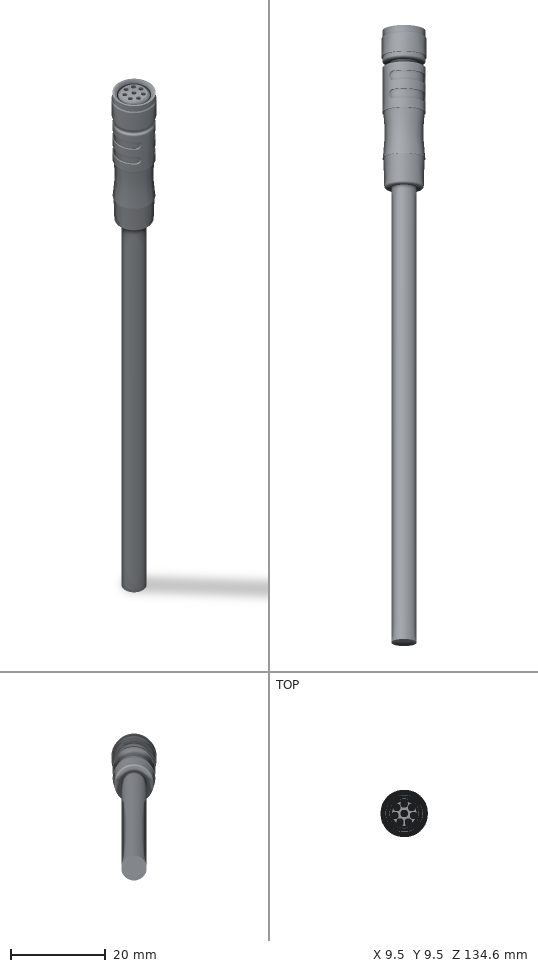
import cadquery as cq
import math

total_length = 134.6
cable_radius = 5.4 / 2

rim_radius = 9.2 / 2
nut_radius = 9.5 / 2
neck_radius = 5.9 / 2
rim_bottom = 133.1
nut_top = 132.9
nut_bottom = 128.8
nut_base = 127.6
nut_base_fillet = 0.4

grip_top = 126.7
grip_fillet = 0.4
grip_radius = 9.2 / 2
grip_bottom = 116.5
waist_end_radius = 8.7 / 2
waist_radius = 8.2 / 2
waist_bottom = 107.8
collar_radius = 9.0 / 2
collar_bottom = 106.5
tail_top_radius = 8.7 / 2
tail_bottom_radius = 8.3 / 2
tail_bottom = 100.0
tail_fillet = 0.4

slot_width = 2.0
slot_depth = 0.3
slot_end_y = 1.7
slot_centres_z = (123.7, 119.7)

bore_radius = 7.3 / 2
bore_chamfer = 0.5
bore_depth = 2.7
insert_radius = 6.7 / 2
insert_chamfer = 0.5
insert_recess = 0.1
contact_hole_radius = 0.5
contact_mouth_depth = 0.7
contact_bore_radius = 0.3
contact_hole_depth = 2.7
contact_circle_radius = 2.0
outer_contact_count = 7


def fillet_inset(radius):
    """Distance of a fillet's midpoint from each of the two sides it joins."""
    return radius * (1 - math.sqrt(0.5))


def turned_body():
    """Cable, moulded grip and coupling nut as one turned profile."""
    waist_middle = (grip_bottom + waist_bottom) / 2
    tail_inset = fillet_inset(tail_fillet)
    grip_inset = fillet_inset(grip_fillet)
    nut_inset = fillet_inset(nut_base_fillet)
    return (
        cq.Workplane("XZ")
        .moveTo(0, 0)
        .lineTo(cable_radius, 0)
        .lineTo(cable_radius, tail_bottom)
        .lineTo(tail_bottom_radius - tail_fillet, tail_bottom)
        .threePointArc(
            (tail_bottom_radius - tail_inset, tail_bottom + tail_inset),
            (tail_bottom_radius, tail_bottom + tail_fillet),
        )
        .lineTo(tail_top_radius, collar_bottom)
        .lineTo(collar_radius, collar_bottom)
        .lineTo(waist_end_radius, waist_bottom)
        .threePointArc((waist_radius, waist_middle), (waist_end_radius, grip_bottom))
        .lineTo(grip_radius, grip_bottom)
        .lineTo(grip_radius, grip_top - grip_fillet)
        .threePointArc(
            (grip_radius - grip_inset, grip_top - grip_inset),
            (grip_radius - grip_fillet, grip_top),
        )
        .lineTo(neck_radius, grip_top)
        .lineTo(neck_radius, nut_base)
        .lineTo(rim_radius - nut_base_fillet, nut_base)
        .threePointArc(
            (rim_radius - nut_inset, nut_base + nut_inset),
            (rim_radius, nut_base + nut_base_fillet),
        )
        .lineTo(rim_radius, nut_bottom)
        .lineTo(nut_radius, nut_bottom)
        .lineTo(nut_radius, nut_top)
        .lineTo(rim_radius, rim_bottom)
        .lineTo(rim_radius, total_length)
        .lineTo(0, total_length)
        .close()
        .revolve(360, (0, 0, 0), (0, 1, 0))
    )


def finger_slots():
    """Shallow round-ended slots wrapping the -Y and +Y flanks of the grip."""
    slot_length = 2 * nut_radius
    slot_centre_y = slot_end_y + slot_length / 2
    slot_places = [(side * slot_centre_y, z) for side in (-1, 1) for z in slot_centres_z]
    outlines = (
        cq.Workplane("YZ")
        .pushPoints(slot_places)
        .slot2D(slot_length, slot_width)
        .extrude(nut_radius, both=True)
    )
    core = cq.Workplane("XY").circle(grip_radius - slot_depth).extrude(total_length)
    return outlines.cut(core)


def mating_socket():
    """Chamfered bore of the nut around the insert, as the volume to remove."""
    insert_top = total_length - insert_recess
    bore_floor = total_length - bore_depth
    return (
        cq.Workplane("XZ")
        .moveTo(0, total_length)
        .lineTo(bore_radius + bore_chamfer, total_length)
        .lineTo(bore_radius, total_length - bore_chamfer)
        .lineTo(bore_radius, bore_floor)
        .lineTo(insert_radius, bore_floor)
        .lineTo(insert_radius, insert_top - insert_chamfer)
        .lineTo(insert_radius - insert_chamfer, insert_top)
        .lineTo(0, insert_top)
        .close()
        .revolve(360, (0, 0, 0), (0, 1, 0))
    )


def contact_holes():
    """Stepped blind contact holes: one in the middle and a ring with one hole towards +Y."""
    insert_top = total_length - insert_recess
    first_angle = math.pi / 2
    centres = [(0, 0)]
    for index in range(outer_contact_count):
        angle = first_angle + 2 * math.pi * index / outer_contact_count
        centres.append((contact_circle_radius * math.cos(angle), contact_circle_radius * math.sin(angle)))
    face = cq.Workplane("XY", origin=(0, 0, insert_top)).pushPoints(centres)
    mouths = face.circle(contact_hole_radius).extrude(-contact_mouth_depth)
    bores = face.circle(contact_bore_radius).extrude(-contact_hole_depth)
    return mouths.union(bores)


result = turned_body().cut(finger_slots()).cut(mating_socket()).cut(contact_holes())